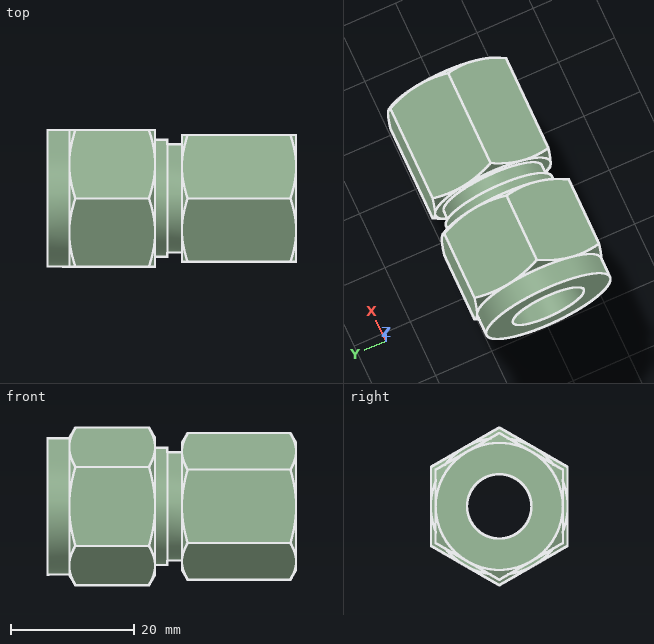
import cadquery as cq
import math

total_length = 40.4
collar_end = 3.55
nut_end = 17.5
shoulder_end = 19.45
neck_end = 21.85

nut_flats = 22.2
body_flats = 20.65
collar_diameter = nut_flats
shoulder_diameter = 19.05
neck_diameter = 17.6
corner_chamfer_angle = 30.0

socket_diameter = 12.7
socket_depth = 22.8
passage_diameter = 10.4


def cylinder(diameter, start, end):
    """Round bar on the X axis between two stations."""
    return cq.Workplane("YZ", origin=(start, 0, 0)).circle(diameter / 2).extrude(end - start)


def chamfered_hex(flats, start, end):
    """Hexagon bar with corners up and down (+-Z), its corners cut by a cone at both ends."""
    corners = flats / math.cos(math.radians(30))
    bar = (
        cq.Workplane("YZ", origin=(start, 0, 0))
        .transformed(rotate=(0, 0, 90))
        .polygon(6, corners)
        .extrude(end - start)
    )

    face_radius = flats / 2
    corner_radius = corners / 2
    chamfer_length = (corner_radius - face_radius) * math.tan(math.radians(corner_chamfer_angle))
    envelope = (
        cq.Workplane("XY")
        .moveTo(start, 0)
        .lineTo(start, face_radius)
        .lineTo(start + chamfer_length, corner_radius)
        .lineTo(end - chamfer_length, corner_radius)
        .lineTo(end, face_radius)
        .lineTo(end, 0)
        .close()
        .revolve(360, (0, 0, 0), (1, 0, 0))
    )
    return bar.intersect(envelope)


collar = cylinder(collar_diameter, 0, collar_end)
nut = chamfered_hex(nut_flats, collar_end, nut_end)
shoulder = cylinder(shoulder_diameter, nut_end, shoulder_end)
neck = cylinder(neck_diameter, shoulder_end, neck_end)
body = chamfered_hex(body_flats, neck_end, total_length)
fitting = collar.union(nut).union(shoulder).union(neck).union(body)

socket = cylinder(socket_diameter, 0, socket_depth)
passage = cylinder(passage_diameter, 0, total_length)

result = fitting.cut(socket).cut(passage)